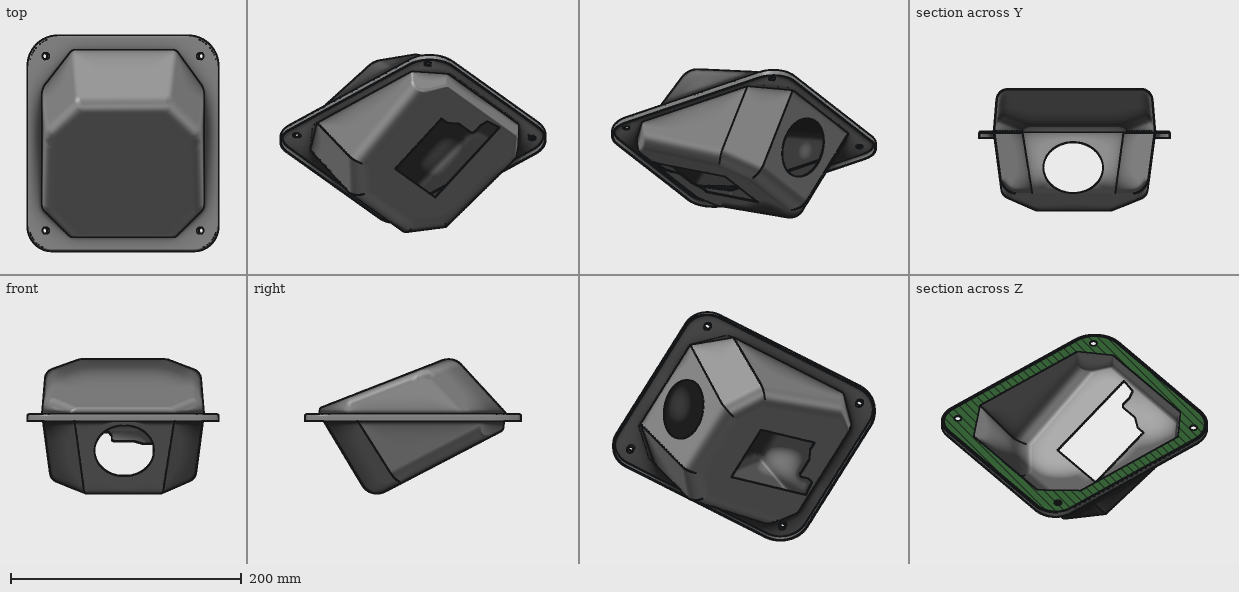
import cadquery as cq
import math

SHEET = 1.0
UP = 1
DOWN = -1

FLANGE_WIDTH = 166.0
FLANGE_LENGTH = 187.5
FLANGE_DEPTH = 6.2
REAR_CORNER_RADIUS = 27.0
FRONT_CORNER_RADIUS = 22.0
RIM_RADIUS = 2.0

HOLE_DIAMETER = 5.8
HOLE_X = 66.8
HOLE_Y = 75.5
TUB_HOLE_SHIFT = 2.0

BASE_X = 70.3
BASE_Y = 81.2
CORNER_END_X = 45.5
BLANK_SIZE = 562.5

COVER_SLOPE = 21.3
COVER_FRONT_HEIGHT = 5.0
COVER_LIMIT = 112.5
COVER_REAR_LEAN = 42.6
COVER_FRONT_LEAN = 4.0
COVER_SIDE_LEAN = 4.8
COVER_CORNER_LEAN = 32.1
COVER_REAR_CORNER_Y = 47.5
COVER_REAR_CORNER_ENDS = (-44.0, 46.0)
COVER_FRONT_CORNER_Y = -56.5
COVER_REAR_RADIUS = 15.0
COVER_SIDE_RADIUS = 10.0
COVER_FRONT_CORNER_RADIUS = 8.8
COVER_FRONT_RADIUS = 3.0
COVER_UPRIGHT_RADIUS = 8.0

FLOOR_SLOPE = 27.5
FLOOR_REAR_DEPTH = 12.5
TUB_LIMIT = -112.5
TUB_REAR_Y = 80.0
TUB_REAR_LEAN = 8.0
TUB_FRONT_LEAN = 31.0
TUB_SIDE_LEAN = 7.6
TUB_CORNER_LEAN = 27.0
TUB_REAR_CORNER_Y = 58.5
TUB_FRONT_CORNER_Y = -52.0
TUB_FRONT_CORNER_ENDS = (-43.0, 45.5)
FLOOR_RADIUS = 15.0
FLOOR_REAR_RADIUS = 4.0
TUB_UPRIGHT_RADIUS = 4.5

PORT_DIAMETER = 51.5
PORT_X = 1.1
PORT_DEPTH = 32.0
CUT_REACH = 7.5

OPENING_OUTLINE = [
    (-26.2, 90.0),
    (26.2, 90.0),
    (26.2, 30.0),
    (18.2, 30.0),
    (9.0, 24.8),
    (-7.9, 24.8),
    (-9.8, 22.7),
    (-9.8, 14.6),
    (-12.2, 8.5),
    (-26.2, 6.5),
]


def wall(point, direction, lean, up):
    """Wall that faces `direction` in XY and leans inward by `lean` degrees as it rises or drops."""
    flat = math.cos(math.radians(lean)) / math.hypot(*direction)
    normal = cq.Vector(direction[0] * flat, direction[1] * flat, up * math.sin(math.radians(lean)))
    return cq.Vector(*point), normal


def side_walls(lean, up):
    return [wall((x, 0, 0), (x, 0), lean, up) for x in (-BASE_X, BASE_X)]


def corner_wall(side_y, end_x, lean, up):
    """Wall across a corner of the footprint, from (+-BASE_X, side_y) to (end_x, +-BASE_Y)."""
    side_x = math.copysign(BASE_X, end_x)
    end_y = math.copysign(BASE_Y, side_y)
    direction = (math.copysign(end_y - side_y, side_x), math.copysign(side_x - end_x, side_y))
    return wall((side_x, side_y, 0), direction, lean, up)


def corner_walls(side_y, ends, lean, up):
    return [corner_wall(side_y, end_x, lean, up) for end_x in ends]


def faceted_solid(walls, inset, low, high):
    """Convex solid bounded by the walls moved inward by `inset`, between two heights."""
    blank = cq.Workplane("XY", origin=(0, 0, low)).rect(BLANK_SIZE, BLANK_SIZE)
    solid = blank.extrude(high - low)
    for point, normal in walls:
        face = cq.Plane(origin=(point - normal * inset).toTuple(), normal=normal.toTuple())
        solid = solid.cut(cq.Workplane(face).rect(BLANK_SIZE, BLANK_SIZE).extrude(BLANK_SIZE))
    return solid


def lies_on(vertex, face_wall, inset):
    point, normal = face_wall
    return abs((vertex.Center() - point).dot(normal) + inset) < 0.002


def round_edges(solid, walls_a, walls_b, radius, inset):
    """Round the edges between each wall of one group and each of the other, keeping the sheet even."""
    edges = []
    for a in walls_a:
        for b in walls_b:
            for edge in solid.edges().vals():
                if all(lies_on(v, a, inset) and lies_on(v, b, inset) for v in edge.Vertices()):
                    edges.append(edge)
    return solid.newObject(edges).fillet(radius - inset)


def flange_plate(inset, top, depth):
    """Flange outline moved inward by `inset`, from `top` down by `depth`."""
    plate = cq.Workplane("XY", origin=(0, 0, top - depth))
    plate = plate.rect(FLANGE_WIDTH - 2 * inset, FLANGE_LENGTH - 2 * inset).extrude(depth)
    plate = plate.edges("|Z and >Y").fillet(REAR_CORNER_RADIUS - inset)
    return plate.edges("|Z and <Y").fillet(FRONT_CORNER_RADIUS - inset)


def screw_holes(hole_x):
    pattern = cq.Workplane("XY", origin=(0, 0, -FLANGE_DEPTH))
    pattern = pattern.rect(2 * hole_x, 2 * HOLE_Y, forConstruction=True).vertices()
    return pattern.circle(HOLE_DIAMETER / 2).extrude(2 * FLANGE_DEPTH)


def cover_dome(inset):
    top = wall((0, -BASE_Y, COVER_FRONT_HEIGHT), (0, -1), 90 - COVER_SLOPE, UP)
    rear = wall((0, BASE_Y, 0), (0, 1), COVER_REAR_LEAN, UP)
    front = wall((0, -BASE_Y, 0), (0, -1), COVER_FRONT_LEAN, UP)
    sides = side_walls(COVER_SIDE_LEAN, UP)
    rear_corners = corner_walls(COVER_REAR_CORNER_Y, COVER_REAR_CORNER_ENDS, COVER_CORNER_LEAN, UP)
    front_ends = (-CORNER_END_X, CORNER_END_X)
    front_corners = corner_walls(COVER_FRONT_CORNER_Y, front_ends, COVER_FRONT_LEAN, UP)

    walls = [top, rear, front] + sides + rear_corners + front_corners
    dome = faceted_solid(walls, inset, -SHEET, COVER_LIMIT)
    dome = round_edges(dome, [top], [rear] + rear_corners, COVER_REAR_RADIUS, inset)
    dome = round_edges(dome, [top], sides, COVER_SIDE_RADIUS, inset)
    dome = round_edges(dome, [top], front_corners, COVER_FRONT_CORNER_RADIUS, inset)
    dome = round_edges(dome, [top], [front], COVER_FRONT_RADIUS, inset)
    return round_edges(dome, [rear] + sides, rear_corners, COVER_UPRIGHT_RADIUS, inset)


def make_cover():
    flange = flange_plate(0, 0, FLANGE_DEPTH).faces(">Z").edges().fillet(RIM_RADIUS)
    recess = flange_plate(SHEET, -SHEET, FLANGE_DEPTH)
    recess = recess.faces(">Z").edges().fillet(RIM_RADIUS - SHEET)
    shell = flange.cut(recess).union(cover_dome(0)).cut(cover_dome(SHEET))
    return shell.cut(screw_holes(HOLE_X))


tub_floor = wall((0, BASE_Y, -FLOOR_REAR_DEPTH), (0, 1), 90 - FLOOR_SLOPE, DOWN)
tub_front = wall((0, -BASE_Y, 0), (0, -1), TUB_FRONT_LEAN, DOWN)


def tub_dome(inset):
    rear = wall((0, TUB_REAR_Y, 0), (0, 1), TUB_REAR_LEAN, DOWN)
    sides = side_walls(TUB_SIDE_LEAN, DOWN)
    rear_ends = (-CORNER_END_X, CORNER_END_X)
    rear_corners = corner_walls(TUB_REAR_CORNER_Y, rear_ends, TUB_REAR_LEAN, DOWN)
    front_corners = corner_walls(TUB_FRONT_CORNER_Y, TUB_FRONT_CORNER_ENDS, TUB_CORNER_LEAN, DOWN)

    walls = [tub_floor, rear, tub_front] + sides + rear_corners + front_corners
    dome = faceted_solid(walls, inset, TUB_LIMIT, -SHEET)
    dome = round_edges(dome, [tub_floor], [tub_front] + front_corners + sides, FLOOR_RADIUS, inset)
    dome = round_edges(dome, [tub_floor], [rear] + rear_corners, FLOOR_REAR_RADIUS, inset)
    return round_edges(dome, [rear] + sides, rear_corners, TUB_UPRIGHT_RADIUS, inset)


def port():
    """Round cutter square to the leaning front wall."""
    normal = tub_front[1]
    center_y = -BASE_Y + PORT_DEPTH * math.tan(math.radians(TUB_FRONT_LEAN))
    face = cq.Plane(origin=(PORT_X, center_y, -PORT_DEPTH), normal=normal.toTuple())
    return cq.Workplane(face).circle(PORT_DIAMETER / 2).extrude(CUT_REACH, both=True)


def floor_opening():
    """Cutter square to the sloping floor."""
    point, normal = tub_floor
    face = cq.Plane(origin=point.toTuple(), xDir=(1, 0, 0), normal=(-normal).toTuple())
    outline = [(x, -distance) for x, distance in OPENING_OUTLINE]
    return cq.Workplane(face).polyline(outline).close().extrude(CUT_REACH, both=True)


def make_tub():
    flange = flange_plate(RIM_RADIUS, -SHEET, SHEET)
    shell = flange.union(tub_dome(0)).cut(tub_dome(SHEET))
    return shell.cut(screw_holes(HOLE_X + TUB_HOLE_SHIFT)).cut(port()).cut(floor_opening())


cover = make_cover()
tub = make_tub()
result = cq.Compound.makeCompound([cover.val(), tub.val()])